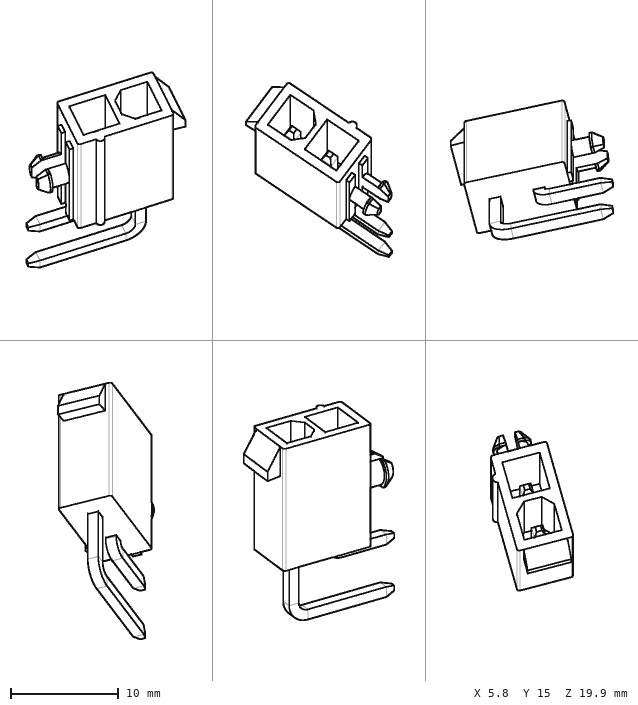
import cadquery as cq

OVERALL_HEIGHT = 19.93


HOUSING_WIDTH = 5.42
HOUSING_DEPTH = 9.6
HOUSING_HEIGHT = 12.81
CORNER_RADIUS = 0.24

PITCH = 4.2
CAVITY_SIZE = 3.6
CAVITY_DEPTH = 9.96
CAVITY_CHAMFER = 0.95
FRONT_CAVITY_Y = (HOUSING_DEPTH - PITCH) / 2
REAR_CAVITY_Y = FRONT_CAVITY_Y + PITCH

LATCH_WIDTH = 4.2
LATCH_REACH = 1.4
LATCH_RAMP_DROP = 2.25
LATCH_ROOT_DROP = 3.07
LATCH_TIP_DROP = 3.23

BEAD_RADIUS = 0.42
BEAD_X = 2.67
BEAD_Y = 2.23

RIB_SPAN = 2.97
RIB_GAP = 1.14
RIB_WIDTH = (RIB_SPAN - RIB_GAP) / 2
RIB_DEPTH = 0.38
RIB_TOP_DROP = 2.0
RIB_HEIGHT = HOUSING_HEIGHT - RIB_TOP_DROP

PEG_DROP = 6.58
PEG_Z = HOUSING_HEIGHT - PEG_DROP
STEM_RADIUS = RIB_SPAN / 2
STEM_END = 2.17
HEAD_RADIUS = 1.83
HEAD_RIM_END = 2.41
PEG_LENGTH = 3.33
PEG_TIP_RADIUS = 1.2
PEG_HALF_HEIGHT = 1.38
PEG_TIP_HALF_HEIGHT = 0.75

WIRE = 1.08
TIP_LENGTH = 1.04
TIP_SIZE = 0.52
CONTACT_TOP_DROP = 2.99
CONTACT_TOP = HOUSING_HEIGHT - CONTACT_TOP_DROP
TAIL_REACH = 4.0
FRONT_CONTACT_Y = 2.93
REAR_CONTACT_Y = FRONT_CONTACT_Y + PITCH
REAR_TAIL_Z = HOUSING_HEIGHT - OVERALL_HEIGHT + WIRE / 2
ROW_SPACING = 5.5
FRONT_TAIL_Z = REAR_TAIL_Z + ROW_SPACING
REAR_BEND = 1.51
FRONT_BEND = 0.98

CONTACTS = [
    (FRONT_CONTACT_Y, FRONT_TAIL_Z, FRONT_BEND),
    (REAR_CONTACT_Y, REAR_TAIL_Z, REAR_BEND),
]


def side_profile(points, width, centre_x=0):
    """Extrude a closed (Y, Z) outline along X, centred on centre_x."""
    outline = cq.Workplane("YZ").polyline(points).close()
    return outline.extrude(width / 2, both=True).translate((centre_x, 0, 0))


def make_cavity(centre_y):
    """Square cavity opening at the housing top."""
    floor = HOUSING_HEIGHT - CAVITY_DEPTH
    block = cq.Workplane("XY").box(CAVITY_SIZE, CAVITY_SIZE, CAVITY_DEPTH, centered=(True, True, False))
    return block.translate((0, centre_y, floor))


def make_latch():
    """Ramped catch on the rear wall with a slightly hooked underside."""
    tip_y = HOUSING_DEPTH + LATCH_REACH
    outline = [
        (HOUSING_DEPTH, HOUSING_HEIGHT),
        (tip_y, HOUSING_HEIGHT - LATCH_RAMP_DROP),
        (tip_y, HOUSING_HEIGHT - LATCH_TIP_DROP),
        (HOUSING_DEPTH, HOUSING_HEIGHT - LATCH_ROOT_DROP),
    ]
    return side_profile(outline, LATCH_WIDTH)


def make_housing():
    """Rounded block with bead and latch, two cavities and a wire hole in each cavity floor."""
    block = cq.Workplane("XY").box(HOUSING_WIDTH, HOUSING_DEPTH, HOUSING_HEIGHT, centered=(True, False, False))
    body = block.edges("|Z").fillet(CORNER_RADIUS)

    bead = cq.Workplane("XY").center(BEAD_X, BEAD_Y).circle(BEAD_RADIUS).extrude(HOUSING_HEIGHT)
    body = body.union(bead).union(make_latch())

    body = body.cut(make_cavity(FRONT_CAVITY_Y))
    body = body.cut(make_cavity(REAR_CAVITY_Y).edges("|Z and <Y").chamfer(CAVITY_CHAMFER))

    for contact_y, _, _ in CONTACTS:
        wire_hole = cq.Workplane("XY").center(0, contact_y).rect(WIRE, WIRE).extrude(HOUSING_HEIGHT)
        body = body.cut(wire_hole)
    return body


def make_rib(side):
    """Upright rib against the front wall."""
    rib = cq.Workplane("XY").box(RIB_WIDTH, RIB_DEPTH, RIB_HEIGHT, centered=(True, False, False))
    return rib.translate((side * (RIB_GAP + RIB_WIDTH) / 2, -RIB_DEPTH, 0))


def make_peg_half(side):
    """Half of the split snap peg, standing on the rib face: stem, wider rim and tapered point."""
    outline = [
        (0, -RIB_DEPTH),
        (STEM_RADIUS, -RIB_DEPTH),
        (STEM_RADIUS, -STEM_END),
        (HEAD_RADIUS, -STEM_END),
        (HEAD_RADIUS, -HEAD_RIM_END),
        (PEG_TIP_RADIUS, -PEG_LENGTH),
        (0, -PEG_LENGTH),
    ]
    round_peg = cq.Workplane("XY").polyline(outline).close().revolve(360, (0, 0, 0), (0, 1, 0))

    flats = [
        (-RIB_DEPTH, PEG_HALF_HEIGHT),
        (-HEAD_RIM_END, PEG_HALF_HEIGHT),
        (-PEG_LENGTH, PEG_TIP_HALF_HEIGHT),
        (-PEG_LENGTH, -PEG_TIP_HALF_HEIGHT),
        (-HEAD_RIM_END, -PEG_HALF_HEIGHT),
        (-RIB_DEPTH, -PEG_HALF_HEIGHT),
    ]
    half_width = HEAD_RADIUS - RIB_GAP / 2
    envelope = side_profile(flats, half_width, side * (RIB_GAP + half_width) / 2)
    return round_peg.intersect(envelope).translate((0, 0, PEG_Z))


def make_clip(side):
    """Rib with its peg half, sharing one flat face along the gap; side is -1 or +1 along X."""
    return make_rib(side).union(make_peg_half(side))


def make_tip(base, direction):
    """Blunt four-sided point on a wire end at base, pointing along direction."""
    plane = cq.Plane(origin=base, xDir=(1, 0, 0), normal=direction)
    wide_end = cq.Workplane(plane).rect(WIRE, WIRE)
    return wide_end.workplane(offset=TIP_LENGTH).rect(TIP_SIZE, TIP_SIZE).loft(ruled=True)


def make_contact(wire_y, tail_z, bend_radius):
    """Square wire contact: upright post, quarter bend and forward tail, pointed at both ends."""
    post_end = CONTACT_TOP - TIP_LENGTH
    tail_end = -TAIL_REACH + TIP_LENGTH
    path = (
        cq.Workplane("YZ")
        .moveTo(wire_y, post_end)
        .lineTo(wire_y, tail_z + bend_radius)
        .radiusArc((wire_y - bend_radius, tail_z), bend_radius)
        .lineTo(tail_end, tail_z)
    )
    start = cq.Workplane("XY", origin=(0, wire_y, post_end))
    wire = start.rect(WIRE, WIRE).sweep(path, clean=False)
    post_tip = make_tip((0, wire_y, post_end), (0, 0, 1))
    tail_tip = make_tip((0, tail_end, tail_z), (0, -1, 0))
    return wire.union(post_tip, clean=False).union(tail_tip, clean=False)


housing = make_housing()
clips = [make_clip(side) for side in (-1, 1)]
contacts = [make_contact(*placing) for placing in CONTACTS]

result = cq.Compound.makeCompound(
    [
        housing.solids().val(),
        *[clip.solids().val() for clip in clips],
        *[contact.solids().val() for contact in contacts],
    ]
)